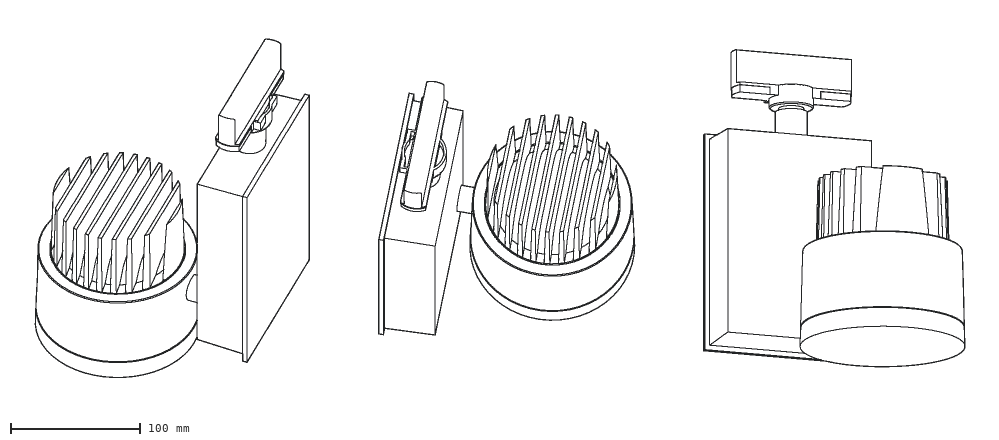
import cadquery as cq
import math

HEAD_BOTTOM_RADIUS = 63.6
HEAD_TOP_RADIUS = 61.7
HEAD_HEIGHT = 76.6
RIM_CHAMFER = 0.7
BEZEL_HEIGHT = 15.2
BEZEL_GROOVE = 0.5
BAND_HEIGHT = 19.5
OPENING_RADIUS = 52.5
OPENING_DEPTH = 2.5

SINK_BASE_RADIUS = 51.5
SINK_TOP_RADIUS = 50.0
FIN_TOP = 131.3
FIN_COUNT = 10
FIN_SPAN = 97.3
FIN_PITCH = FIN_SPAN / (FIN_COUNT - 1)
FIN_BASE_THICKNESS = 4.5
FIN_TOP_THICKNESS = 2.7
DOME_TOP = 99.3
DOME_FLAT_RADIUS = 22.0
DOME_SHOULDER_RADIUS = 38.2
DOME_SHOULDER_Z = 91.0
DOME_FOOT_RADIUS = 45.0
DOME_FOOT_Z = 79.5

ARM_RADIUS = 10.2
ARM_Z = 57.5

BOX_Y = 42.5
BOX_Z = 101.5
BOX_LEFT = 73.0
BOX_FRONT_WIDTH = 117.3
BOX_FRONT_HEIGHT = 162.0
BOX_DRAFT = 1.0
PLATE_RIGHT = 116.3
PLATE_THICKNESS = 3.7
PLATE_WIDTH = 126.8
PLATE_HEIGHT = 171.7
PLATE_LEFT = PLATE_RIGHT - PLATE_THICKNESS

TOP_CUT_WIDTH = 33.5

STEM_X = 92.5
STEM_RADIUS = 12.5
STEM_TOP = 205.0
NECK_RADIUS = 9.7

BOSS_RADIUS = 17.2
BOSS_BOTTOM = 208.0
BOSS_CHAMFER = 1.0
FLANGE_BOTTOM = 215.2
FLANGE_LIP_BOTTOM = 221.0
FLANGE_TOP = 223.1
FLANGE_WIDTH = 20.2
FLANGE_RECESS = 0.5
FLANGE_CENTER_LENGTH = 41.5
BAR_TOP = 249.5
BAR_LENGTH = 96.3
BAR_WIDTH = 13.7
BAR_EDGE_RADIUS = 1.5
BAR_END_RADIUS = 18.7
LEVER_REACH = 16.0
LEVER_LENGTH = 33.5
CUP_RADIUS = 15.2
LEVER_WALL = 1.5


def cylinder(radius, bottom, top):
    return cq.Workplane("XY", origin=(0, 0, bottom)).circle(radius).extrude(top - bottom)


def make_head_shell():
    slope = (HEAD_BOTTOM_RADIUS - HEAD_TOP_RADIUS) / (HEAD_HEIGHT - RIM_CHAMFER)
    floor = HEAD_HEIGHT - OPENING_DEPTH
    bezel_radius = HEAD_BOTTOM_RADIUS - slope * BEZEL_HEIGHT
    groove_top = BEZEL_HEIGHT + BEZEL_GROOVE
    band_radius = HEAD_BOTTOM_RADIUS - slope * BAND_HEIGHT
    profile = [
        (0, 0),
        (HEAD_BOTTOM_RADIUS, 0),
        (bezel_radius, BEZEL_HEIGHT),
        (bezel_radius - BEZEL_GROOVE, BEZEL_HEIGHT),
        (bezel_radius - BEZEL_GROOVE, groove_top),
        (band_radius, groove_top),
        (band_radius, BAND_HEIGHT),
        (HEAD_TOP_RADIUS, HEAD_HEIGHT - RIM_CHAMFER),
        (HEAD_TOP_RADIUS - RIM_CHAMFER, HEAD_HEIGHT),
        (OPENING_RADIUS, HEAD_HEIGHT),
        (OPENING_RADIUS, floor),
        (0, floor),
    ]
    return cq.Workplane("XZ").polyline(profile).close().revolve()


def make_dome():
    floor = HEAD_HEIGHT - OPENING_DEPTH
    return (
        cq.Workplane("XZ")
        .moveTo(0, floor)
        .lineTo(0, DOME_TOP)
        .lineTo(DOME_FLAT_RADIUS, DOME_TOP)
        .tangentArcPoint((DOME_SHOULDER_RADIUS, DOME_SHOULDER_Z), relative=False)
        .lineTo(DOME_FOOT_RADIUS, DOME_FOOT_Z)
        .lineTo(SINK_BASE_RADIUS, HEAD_HEIGHT)
        .lineTo(SINK_BASE_RADIUS, floor)
        .close()
        .revolve()
    )


def make_fins():
    floor = HEAD_HEIGHT - OPENING_DEPTH
    envelope = (
        cq.Workplane("XZ")
        .polyline([(0, floor), (SINK_BASE_RADIUS, floor), (SINK_TOP_RADIUS, FIN_TOP), (0, FIN_TOP)])
        .close()
        .revolve()
    )
    half_base = FIN_BASE_THICKNESS / 2
    half_top = FIN_TOP_THICKNESS / 2
    first_x = -FIN_SPAN / 2
    fins = []
    for i in range(FIN_COUNT):
        x = first_x + i * FIN_PITCH
        left_extra = SINK_BASE_RADIUS + first_x if i == 0 else 0
        right_extra = SINK_BASE_RADIUS + first_x if i == FIN_COUNT - 1 else 0
        left_base = x - half_base - left_extra
        left_top = x - half_top - left_extra
        right_base = x + half_base + right_extra
        right_top = x + half_top + right_extra
        blank = (
            cq.Workplane("XZ")
            .polyline([(left_base, floor), (right_base, floor), (right_top, FIN_TOP), (left_top, FIN_TOP)])
            .close()
            .extrude(SINK_BASE_RADIUS, both=True)
        )
        fins.append(blank.intersect(envelope))
    return fins


def make_lamp_head():
    arm = cq.Workplane("YZ").center(0, ARM_Z).circle(ARM_RADIUS).extrude(BOX_LEFT)
    head = make_head_shell().union(arm).union(make_dome())
    for fin in make_fins():
        head = head.union(fin)
    return head


def make_top_cut():
    slope = BOX_DRAFT / (PLATE_LEFT - BOX_LEFT)
    floor = BOX_Z + BOX_FRONT_HEIGHT / 2 + slope * (STEM_X - BOX_LEFT)
    half_floor = TOP_CUT_WIDTH / 2
    side_run = PLATE_LEFT - STEM_X
    side_rise = slope * side_run
    return (
        cq.Workplane("YZ", origin=(STEM_X, BOX_Y, floor))
        .polyline(
            [
                (-half_floor, 0),
                (half_floor, 0),
                (half_floor + side_run, side_rise),
                (-half_floor - side_run, side_rise),
            ]
        )
        .close()
        .extrude(side_run)
    )


def make_driver_box():
    box = (
        cq.Workplane("YZ", origin=(BOX_LEFT, BOX_Y, BOX_Z))
        .rect(BOX_FRONT_WIDTH, BOX_FRONT_HEIGHT)
        .workplane(offset=PLATE_LEFT - BOX_LEFT)
        .rect(BOX_FRONT_WIDTH + 2 * BOX_DRAFT, BOX_FRONT_HEIGHT + 2 * BOX_DRAFT)
        .loft(ruled=True)
    )
    plate = (
        cq.Workplane("YZ", origin=(PLATE_LEFT, BOX_Y, BOX_Z))
        .rect(PLATE_WIDTH, PLATE_HEIGHT)
        .extrude(PLATE_THICKNESS)
    )
    stem = cylinder(STEM_RADIUS, BOX_Z, STEM_TOP).translate((STEM_X, BOX_Y, 0))
    return box.cut(make_top_cut()).union(plate).union(stem)


def round_ended_bar(width, length, bottom, top):
    half_width = width / 2
    end = length / 2
    corner = end - BAR_END_RADIUS + math.sqrt(BAR_END_RADIUS**2 - half_width**2)
    return (
        cq.Workplane("XY", origin=(0, 0, bottom))
        .moveTo(-half_width, -corner)
        .threePointArc((0, -end), (half_width, -corner))
        .lineTo(half_width, corner)
        .threePointArc((0, end), (-half_width, corner))
        .close()
        .extrude(top - bottom)
    )


def flange_block(x_min, x_max, length):
    height = FLANGE_TOP - FLANGE_BOTTOM
    return cq.Workplane("XY", origin=((x_min + x_max) / 2, 0, FLANGE_BOTTOM + height / 2)).box(
        x_max - x_min, length, height
    )


def make_cup():
    boss = cylinder(BOSS_RADIUS, BOSS_BOTTOM, FLANGE_TOP).faces("<Z").chamfer(BOSS_CHAMFER)
    lever = flange_block(0, LEVER_REACH, LEVER_LENGTH)
    round_hollow = cylinder(CUP_RADIUS, FLANGE_BOTTOM, FLANGE_TOP)
    lever_hollow = flange_block(0, LEVER_REACH - 2 * LEVER_WALL, LEVER_LENGTH - 2 * LEVER_WALL)
    return boss.union(lever).cut(round_hollow).cut(lever_hollow)


def make_flange():
    lip = round_ended_bar(FLANGE_WIDTH, BAR_LENGTH, FLANGE_LIP_BOTTOM, FLANGE_TOP)
    recessed_part = round_ended_bar(
        FLANGE_WIDTH - 2 * FLANGE_RECESS,
        BAR_LENGTH - 2 * FLANGE_RECESS,
        FLANGE_BOTTOM,
        FLANGE_LIP_BOTTOM,
    )
    center = flange_block(-FLANGE_WIDTH / 2, FLANGE_WIDTH / 2, FLANGE_CENTER_LENGTH)
    return lip.union(recessed_part).union(center)


def make_track_adapter():
    neck = cylinder(NECK_RADIUS, STEM_TOP, BOSS_BOTTOM)
    bar = round_ended_bar(BAR_WIDTH, BAR_LENGTH, FLANGE_TOP, BAR_TOP)
    bar = bar.faces(">Z").edges("|Y").fillet(BAR_EDGE_RADIUS)
    adapter = neck.union(make_cup()).union(make_flange()).union(bar)
    return adapter.translate((STEM_X, BOX_Y, 0))


lamp_head = make_lamp_head().solids()
driver_box = make_driver_box().solids()
track_adapter = make_track_adapter().solids()

result = cq.Compound.makeCompound([lamp_head.val(), driver_box.val(), track_adapter.val()])